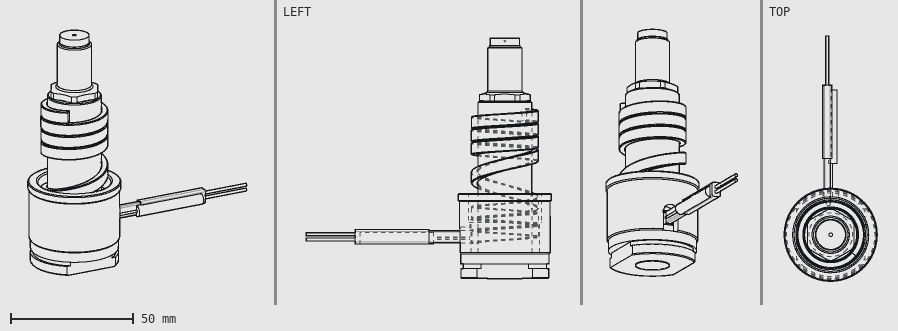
import cadquery as cq
import math

FOOT_TOP = 0.3
GROOVE_BOTTOM = 4.3
COLLAR_BOTTOM = 6.2
SLEEVE_BOTTOM = 10.3
FLANGE_BOTTOM = 31.6
FLANGE_TOP = 35.0
CORE_TOP = 72.3
HEX_BOTTOM = 72.6
HEX_TOP = 76.0
STEM_SHOULDER = 94.2
TIP_BOTTOM = 95.2
TIP_TOP = 98.2

FOOT_RADIUS = 7.0
COLLAR_RADIUS = 18.0
GROOVE_RADIUS = 17.0
SLEEVE_RADIUS = 18.5
FLANGE_RADIUS = 19.0
BORE_RADIUS = 14.9
BORE_MOUTH_RADIUS = 15.5
BORE_SEAT_RADIUS = 14.2
BORE_SEAT_TOP = 23.0
CORE_RADIUS = 11.0
HEX_NECK_RADIUS = 8.9
STEM_RADIUS = 7.0
SPIGOT_RADIUS = 6.25
TIP_RADIUS = 6.0
EDGE_CHAMFER = 0.4

BASE_FLATS = 28.0
HEX_FLATS = 19.0
HEX_CORNER_RADIUS = 10.4
HEX_CONE_RADIUS = 7.6
HEX_CONE_DROP = 0.9
STEM_FLARE_HEIGHT = 0.7
GATE_RADIUS = 0.75
GATE_DEPTH = 1.5
SLOT_WIDTH = 6.4
SLOT_TOP = 21.3

STRIP_HEIGHT = 5.0
STRIP_THICKNESS = 2.7
STRIP_CHAMFER = 0.35
UPPER_TIGHT_PITCH = 5.25
STEEP_PITCH = 21.2
LOWER_TIGHT_PITCH = 5.05
COIL_TOP = 69.55
UPPER_TIGHT_TURN = 1093.0
UPPER_BLEND_TURN = 141.0
STEEP_TURN = 211.0
LOWER_BLEND_TURN = UPPER_BLEND_TURN
COIL_START_ANGLE = 320.0
COIL_END_ANGLE = 90.0
WHOLE_TURNS = 6
TOTAL_TURN = COIL_START_ANGLE - COIL_END_ANGLE + 360.0 * WHOLE_TURNS
UPPER_TURN = UPPER_TIGHT_TURN + UPPER_BLEND_TURN + STEEP_TURN
LOWER_TIGHT_TURN = TOTAL_TURN - UPPER_TURN - LOWER_BLEND_TURN
POINT_STEP = 6.0

LEAD_X = -1.4
LEAD_Z = 17.25
LEAD_START_Y = 12.0
LEAD_FILLET = 0.5
SHEATH_START_Y = 31.0
SHEATH_LENGTH = 30.0
SHEATH_WIDTH = 3.7
SHEATH_HEIGHT = 6.0
SHEATH_FILLET = 0.8
WIRE_DIAMETER = 1.3
WIRE_LENGTH = 20.0
WIRE_SPACING = 2.1
PROBE_X = 0.3
PROBE_Z = 16.7
PROBE_START_Y = 14.5
PROBE_WIRE_DIAMETER = 1.0
PROBE_SLEEVE_START_Y = 29.0
PROBE_SLEEVE_LENGTH = 30.0
PROBE_SLEEVE_DIAMETER = 4.6


def disc(radius, bottom, top):
    """Vertical cylinder on the Z axis."""
    return cq.Workplane("XY").workplane(offset=bottom).circle(radius).extrude(top - bottom)


def rod_along_y(diameter, x, z, start, length):
    """Round bar parallel to the Y axis, starting at y = start."""
    return cq.Workplane("XZ", origin=(x, start, z)).circle(diameter / 2).extrude(-length)


def bar_along_y(width, height, fillet, start, length):
    """Rectangular bar with rounded long edges, centred on the heater lead."""
    plane = cq.Workplane("XZ", origin=(LEAD_X, start, LEAD_Z))
    return plane.rect(width, height).extrude(-length).edges("|Y").fillet(fillet)


def make_base():
    """Wrench base: foot, grooved round with two flats across X."""
    rim = disc(COLLAR_RADIUS, FOOT_TOP, GROOVE_BOTTOM).faces("<Z").chamfer(EDGE_CHAMFER)
    base = rim.union(disc(GROOVE_RADIUS, GROOVE_BOTTOM, COLLAR_BOTTOM))
    flats = cq.Workplane("XY").rect(BASE_FLATS, 2 * COLLAR_RADIUS).extrude(COLLAR_BOTTOM)
    return base.intersect(flats).union(disc(FOOT_RADIUS, 0, FOOT_TOP))


def make_sleeve():
    """Collar and flanged sleeve, bored from the top and slotted on +Y for the leads."""
    sleeve = disc(COLLAR_RADIUS, COLLAR_BOTTOM, SLEEVE_BOTTOM)
    wall = disc(SLEEVE_RADIUS, SLEEVE_BOTTOM, FLANGE_BOTTOM)
    sleeve = sleeve.union(wall.faces("<Z").chamfer(SLEEVE_RADIUS - COLLAR_RADIUS))
    flange = disc(FLANGE_RADIUS, FLANGE_BOTTOM, FLANGE_TOP).faces(">Z").chamfer(EDGE_CHAMFER)
    flange = flange.faces("<Z").chamfer(FLANGE_RADIUS - SLEEVE_RADIUS)
    sleeve = sleeve.union(flange)
    mouth_chamfer = BORE_MOUTH_RADIUS - BORE_RADIUS
    bore = (
        cq.Workplane("XZ")
        .moveTo(0, SLEEVE_BOTTOM)
        .lineTo(BORE_SEAT_RADIUS, SLEEVE_BOTTOM)
        .lineTo(BORE_SEAT_RADIUS, BORE_SEAT_TOP)
        .lineTo(BORE_RADIUS, BORE_SEAT_TOP)
        .lineTo(BORE_RADIUS, FLANGE_TOP - mouth_chamfer)
        .lineTo(BORE_MOUTH_RADIUS, FLANGE_TOP)
        .lineTo(0, FLANGE_TOP)
        .close()
        .revolve(360, (0, 0, 0), (0, 1, 0))
    )
    half_width = SLOT_WIDTH / 2
    slot = (
        cq.Workplane("XZ")
        .moveTo(-half_width, SLEEVE_BOTTOM)
        .lineTo(half_width, SLEEVE_BOTTOM)
        .lineTo(half_width, SLOT_TOP - half_width)
        .threePointArc((0, SLOT_TOP), (-half_width, SLOT_TOP - half_width))
        .close()
        .extrude(-FLANGE_RADIUS)
    )
    return sleeve.cut(bore).cut(slot)


def make_hex():
    """Hexagon with corners on Y, its corners rounded and its top edge coned."""
    across_corners = HEX_FLATS / math.cos(math.pi / 6)
    prism = (
        cq.Workplane("XY")
        .workplane(offset=HEX_BOTTOM)
        .transformed(rotate=(0, 0, 90))
        .polygon(6, across_corners)
        .extrude(HEX_TOP - HEX_BOTTOM)
    )
    envelope = (
        cq.Workplane("XZ")
        .moveTo(0, HEX_BOTTOM)
        .lineTo(HEX_CORNER_RADIUS, HEX_BOTTOM)
        .lineTo(HEX_CORNER_RADIUS, HEX_TOP - HEX_CONE_DROP)
        .lineTo(HEX_CONE_RADIUS, HEX_TOP)
        .lineTo(0, HEX_TOP)
        .close()
        .revolve(360, (0, 0, 0), (0, 1, 0))
    )
    return prism.intersect(envelope)


def make_stem():
    """Stem above the hexagon, stepped at the tip, with a conical gate in its end."""
    shoulder_chamfer = STEM_RADIUS - SPIGOT_RADIUS
    return (
        cq.Workplane("XZ")
        .moveTo(0, HEX_TOP)
        .lineTo(HEX_CONE_RADIUS, HEX_TOP)
        .lineTo(STEM_RADIUS, HEX_TOP + STEM_FLARE_HEIGHT)
        .lineTo(STEM_RADIUS, STEM_SHOULDER)
        .lineTo(SPIGOT_RADIUS, STEM_SHOULDER + shoulder_chamfer / 2)
        .lineTo(SPIGOT_RADIUS, TIP_BOTTOM)
        .lineTo(TIP_RADIUS, TIP_BOTTOM)
        .lineTo(TIP_RADIUS, TIP_TOP)
        .lineTo(GATE_RADIUS, TIP_TOP)
        .lineTo(0, TIP_TOP - GATE_DEPTH)
        .close()
        .revolve(360, (0, 0, 0), (0, 1, 0))
    )


def make_nozzle():
    """Base, sleeve, core, hexagon and stem as one turned body."""
    core = disc(CORE_RADIUS, COLLAR_BOTTOM, CORE_TOP).faces(">Z").chamfer(EDGE_CHAMFER)
    hex_neck = disc(HEX_NECK_RADIUS, CORE_TOP, HEX_BOTTOM)
    nozzle = make_base().union(make_sleeve()).union(core)
    return nozzle.union(hex_neck).union(make_hex()).union(make_stem())


def coil_drop(turned):
    """Height lost after winding down by the given number of degrees."""
    stretches = [
        (UPPER_TIGHT_TURN, UPPER_TIGHT_PITCH, UPPER_TIGHT_PITCH),
        (UPPER_BLEND_TURN, UPPER_TIGHT_PITCH, STEEP_PITCH),
        (STEEP_TURN, STEEP_PITCH, STEEP_PITCH),
        (LOWER_BLEND_TURN, STEEP_PITCH, LOWER_TIGHT_PITCH),
        (LOWER_TIGHT_TURN, LOWER_TIGHT_PITCH, LOWER_TIGHT_PITCH),
    ]
    drop = 0.0
    for length, first_pitch, last_pitch in stretches:
        part = min(max(turned, 0.0), length)
        pitch_here = first_pitch + (last_pitch - first_pitch) * part / length
        drop += part / 360.0 * (first_pitch + pitch_here) / 2
        turned -= length
    return drop


def coil_rail(radius, below_top):
    """Edge of the strip: a helix of varying pitch at one radius."""
    count = round(TOTAL_TURN / POINT_STEP)
    points = []
    for i in range(count + 1):
        turned = TOTAL_TURN * i / count
        angle = math.radians(COIL_START_ANGLE - turned)
        z = COIL_TOP - below_top - coil_drop(turned)
        points.append(cq.Vector(radius * math.cos(angle), radius * math.sin(angle), z))
    return cq.Edge.makeSpline(points)


def make_coil():
    """Strip wound on the core, bounded by ruled faces between neighbouring rails."""
    outer = CORE_RADIUS + STRIP_THICKNESS
    section = [
        (CORE_RADIUS, STRIP_CHAMFER),
        (CORE_RADIUS + STRIP_CHAMFER, 0),
        (outer - STRIP_CHAMFER, 0),
        (outer, STRIP_CHAMFER),
        (outer, STRIP_HEIGHT - STRIP_CHAMFER),
        (outer - STRIP_CHAMFER, STRIP_HEIGHT),
        (CORE_RADIUS + STRIP_CHAMFER, STRIP_HEIGHT),
        (CORE_RADIUS, STRIP_HEIGHT - STRIP_CHAMFER),
    ]
    rails = [coil_rail(radius, below) for radius, below in section]
    faces = []
    for i, rail in enumerate(rails):
        faces.append(cq.Face.makeRuledSurface(rail, rails[(i + 1) % len(rails)]))
    for rail_end in (0, 1):
        corners = [rail.positionAt(rail_end) for rail in rails]
        faces.append(cq.Face.makeFromWires(cq.Wire.makePolygon(corners, close=True)))
    return cq.Workplane(obj=cq.Solid.makeSolid(cq.Shell.makeShell(faces)).fix())


def make_lead():
    """Flat lead, its sheath and the two supply wires."""
    neck_length = SHEATH_START_Y - LEAD_START_Y
    neck = bar_along_y(STRIP_THICKNESS, STRIP_HEIGHT, LEAD_FILLET, LEAD_START_Y, neck_length)
    sheath = bar_along_y(SHEATH_WIDTH, SHEATH_HEIGHT, SHEATH_FILLET, SHEATH_START_Y, SHEATH_LENGTH)
    lead = neck.union(sheath)
    sheath_end = SHEATH_START_Y + SHEATH_LENGTH
    for side in (-1, 1):
        z = LEAD_Z + side * WIRE_SPACING / 2
        lead = lead.union(rod_along_y(WIRE_DIAMETER, LEAD_X, z, sheath_end, WIRE_LENGTH))
    return lead


def make_probe():
    """Thermocouple wire and its sleeve beside the heater lead."""
    wire_length = PROBE_SLEEVE_START_Y - PROBE_START_Y
    wire = rod_along_y(PROBE_WIRE_DIAMETER, PROBE_X, PROBE_Z, PROBE_START_Y, wire_length)
    sleeve = rod_along_y(
        PROBE_SLEEVE_DIAMETER, PROBE_X, PROBE_Z, PROBE_SLEEVE_START_Y, PROBE_SLEEVE_LENGTH
    )
    return wire.union(sleeve)


def make_heater():
    """Coil with its lead and thermocouple."""
    return make_coil().union(make_lead().union(make_probe()))


nozzle = make_nozzle()
heater = make_heater()

result = cq.Compound.makeCompound([nozzle.solids().val(), heater.solids().val()])